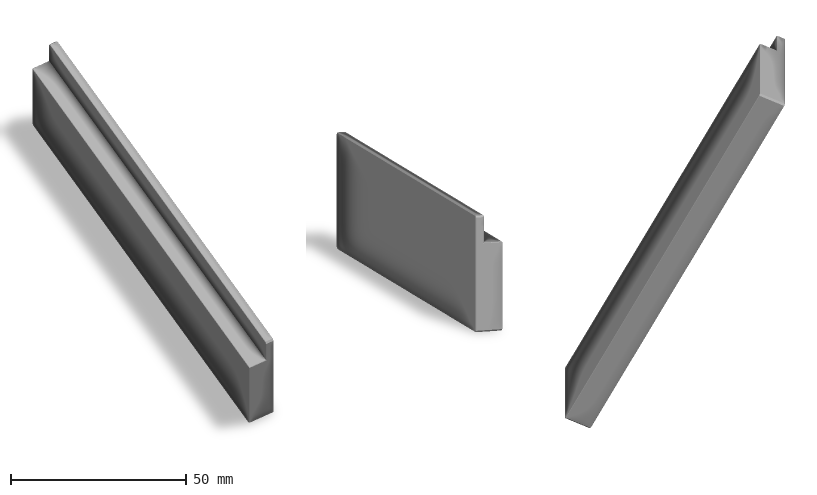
import cadquery as cq

length = 125.0
depth = 8.0
height = 34.0

lip_thickness = 2.5
lip_height = 8.0
lip_front_y = depth / 2 - lip_thickness
shelf_z = height / 2 - lip_height

corner_chamfer = 0.5
edge_break = 0.1
tolerance = 0.001


def is_inner_corner(edge):
    """True for the concave edge where the lip meets the shelf."""
    center = edge.Center()
    return abs(center.y - lip_front_y) < tolerance and abs(center.z - shelf_z) < tolerance


def is_sharp_outer_edge(edge):
    """True for every edge to break: all but the inner corner and the corner chamfers' own long edges."""
    if is_inner_corner(edge):
        return False
    runs_along_depth = abs(edge.tangentAt(0.5).y) > 1 - tolerance
    on_shelf = abs(edge.Center().z - shelf_z) < tolerance
    return on_shelf or not runs_along_depth


block = cq.Workplane("XY").box(length, depth, height)
step = cq.Workplane("XY").box(length, depth - lip_thickness, lip_height).translate(
    (0, -lip_thickness / 2, (height - lip_height) / 2)
)
body = block.cut(step)

body = body.edges("|Y").edges("<Z or >Z").chamfer(corner_chamfer)

sharp_edges = [edge for edge in body.edges().vals() if is_sharp_outer_edge(edge)]
result = body.newObject(sharp_edges).chamfer(edge_break)